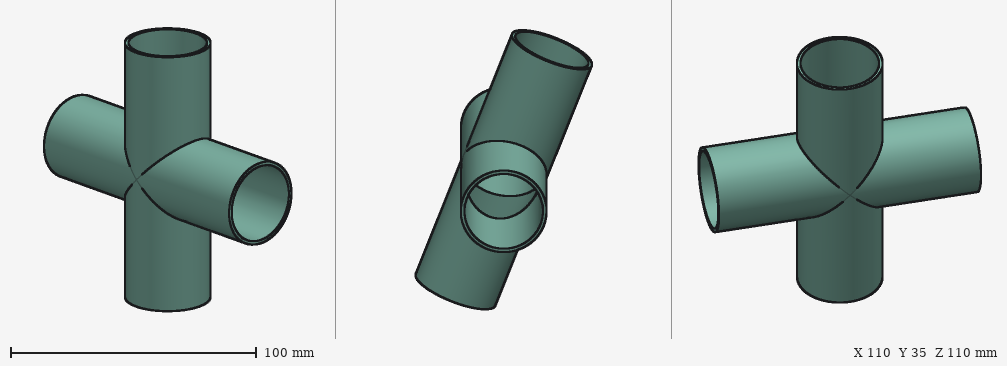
import cadquery as cq

OUTER_DIAMETER = 35.0
BORE_DIAMETER = 32.0
TUBE_LENGTH = 110.0


def crossed_cylinders(diameter):
    """Two full-length cylinders of one diameter, along X and Z, joined at their middles."""
    run = cq.Workplane("YZ").circle(diameter / 2).extrude(TUBE_LENGTH / 2, both=True)
    branch = cq.Workplane("XY").circle(diameter / 2).extrude(TUBE_LENGTH / 2, both=True)
    return run.union(branch)


result = crossed_cylinders(OUTER_DIAMETER).cut(crossed_cylinders(BORE_DIAMETER))